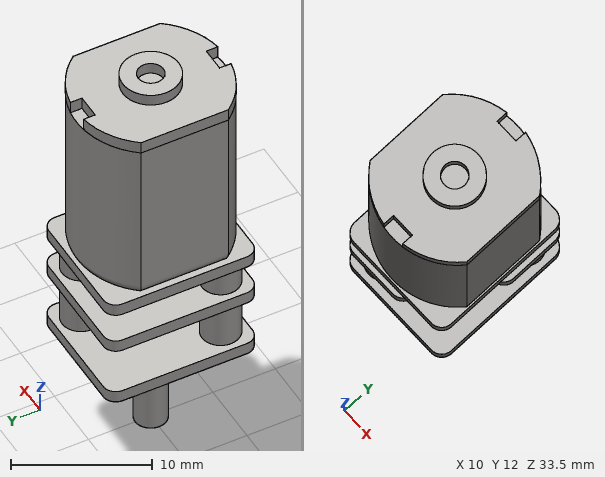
import cadquery as cq

total_height = 33.5
width = 10.0
depth = 12.0

shaft_diameter = 2.5
shaft_length = 7.5
shaft_flat_distance = 0.85
shaft_flat_angle = -60.0
shaft_round_length = 0.07

bearing_diameter = 4.0
bearing_height = 0.5
plate_thickness = 1.0
plate_corner_radius = 1.0
lower_gap = 3.95
upper_gap = 2.5
post_diameter = 3.0
post_x = 2.98
post_y = 4.0
middle_plate_cut_x = 1.0
middle_plate_cut_y = 0.0

motor_flat_length = 7.0
can_edge_radius = 1.0
cap_thickness = 1.0
cap_notch_width = 1.95
cap_notch_depth = 1.0
cap_boss_diameter = 4.5
cap_boss_height = 0.95
cap_hole_diameter = 2.0

bottom_plate_z = shaft_length + bearing_height
middle_plate_z = bottom_plate_z + plate_thickness + lower_gap
top_plate_z = middle_plate_z + plate_thickness + upper_gap
can_z = top_plate_z + plate_thickness
cap_boss_z = total_height - cap_boss_height
cap_z = cap_boss_z - cap_thickness


def cylinder(diameter, height, z):
    return cq.Workplane("XY").workplane(offset=z).circle(diameter / 2).extrude(height)


def make_shaft():
    """Round shaft with one flat, resting against the bearing."""
    shaft = cylinder(shaft_diameter, shaft_length, 0)
    flat_cutter = (
        cq.Workplane("XY")
        .center(shaft_flat_distance + shaft_diameter / 2, 0)
        .rect(shaft_diameter, 2 * shaft_diameter)
        .extrude(shaft_length - shaft_round_length)
        .rotate((0, 0, 0), (0, 0, 1), shaft_flat_angle)
    )
    return shaft.cut(flat_cutter)


def full_plate(z):
    return (
        cq.Workplane("XY").workplane(offset=z)
        .rect(width, depth)
        .extrude(plate_thickness)
        .edges("|Z").fillet(plate_corner_radius)
    )


def middle_plate():
    """L-shaped plate with rounded outer corners and a sharp inner corner."""
    right = width / 2
    back = depth / 2
    outer_corners = [
        (-right, -back),
        (middle_plate_cut_x, -back),
        (right, middle_plate_cut_y),
        (right, back),
        (-right, back),
    ]
    plate = (
        cq.Workplane("XY").workplane(offset=middle_plate_z)
        .polyline(outer_corners[:2] + [(middle_plate_cut_x, middle_plate_cut_y)] + outer_corners[2:])
        .close()
        .extrude(plate_thickness)
    )
    for x, y in outer_corners:
        corner = cq.selectors.NearestToPointSelector((x, y, middle_plate_z + plate_thickness / 2))
        plate = plate.edges("|Z").edges(corner).fillet(plate_corner_radius)
    return plate


def make_gearbox():
    """Three plates joined by two diagonally opposite posts, with a bearing below."""
    gearbox = full_plate(bottom_plate_z).union(middle_plate()).union(full_plate(top_plate_z))
    for side in (-1, 1):
        post = cylinder(post_diameter, can_z - bottom_plate_z, bottom_plate_z)
        gearbox = gearbox.union(post.translate((side * post_x, side * post_y, 0)))
    return gearbox.union(cylinder(bearing_diameter, bearing_height, shaft_length))


def motor_prism(z, height):
    """Motor section: two flat sides joined by bowed front and back faces."""
    x = width / 2
    y = motor_flat_length / 2
    return (
        cq.Workplane("XY").workplane(offset=z)
        .moveTo(-x, -y)
        .threePointArc((0, -depth / 2), (x, -y))
        .lineTo(x, y)
        .threePointArc((0, depth / 2), (-x, y))
        .close()
        .extrude(height)
    )


def make_can():
    return motor_prism(can_z, cap_z - can_z).faces("<Z").edges().fillet(can_edge_radius)


def make_cap():
    """End cap with a notch front and back and a hollow round boss."""
    notches = (
        cq.Workplane("XY").workplane(offset=cap_z)
        .pushPoints([(0, -depth / 2), (0, depth / 2)])
        .rect(cap_notch_width, 2 * cap_notch_depth)
        .extrude(cap_thickness)
    )
    boss = cylinder(cap_boss_diameter, cap_boss_height, cap_boss_z)
    hole = cylinder(cap_hole_diameter, cap_boss_height, cap_boss_z)
    return motor_prism(cap_z, cap_thickness).cut(notches).union(boss).cut(hole)


shaft = make_shaft()
gearbox = make_gearbox()
can = make_can()
cap = make_cap()

result = cq.Compound.makeCompound([shaft.val(), gearbox.val(), can.val(), cap.val()])